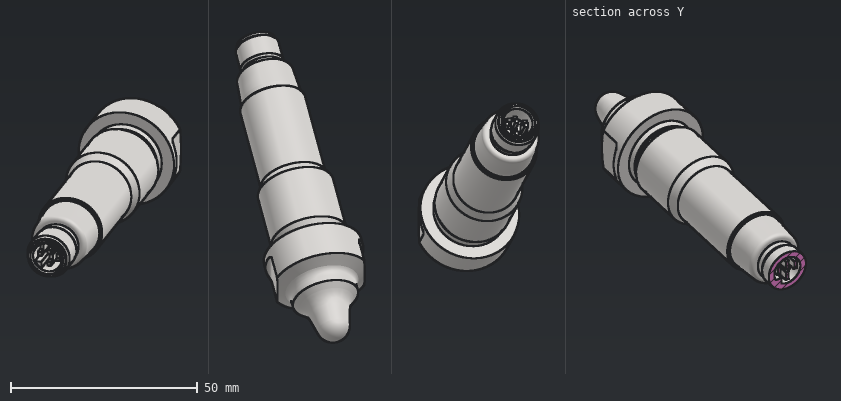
import cadquery as cq
import math

total_length = 96.45

plug_end_dia = 10.6
plug_end_y = 1.0
thread_dia = 12.0
thread_start_y = 1.5
thread_end_y = 7.4
thread_runout_y = 7.9
neck_dia = 11.0
neck_start_y = 8.2
neck_end_y = 9.2
neck_root_dia = 11.4
shoulder_y = 9.9

collar_small_dia = 15.6
collar_large_dia = 16.6
collar_fillet = 1.3
collar_taper_y = 18.0

tube_dia = 18.0
tube_start_y = 19.8
tube_chamfer = 0.3
tube_end_y = 44.85
barrel_dia = 20.9
barrel_start_y = 47.5
barrel_end_y = 63.5
undercut_dia = 18.6
undercut_start_y = 65.5
undercut_end_y = 66.1
flange_root_dia = 20.1

flange_dia = 27.0
flange_start_y = 67.7
flange_cone_angle = 63.0
flange_fillet = 2.9
flange_fillet_angle = 50.0
across_flats = 24.0
flat_start_y = 69.9
flat_fillet = 1.2

nose_collar_start_y = 81.4
nose_flare_radius = 6.9
nose_flare_angle = 45.0
nose_cone_large_y = 88.2
nose_cone_angle = 12.6
nose_tip_radius = 4.6

socket_dia = 8.1
socket_rim_dia = 9.3
socket_depth = 7.7
pin_width = 1.0
pin_height = 2.6
pin_base_y = 3.9
pin_tip_height = 1.2
pin_tip_y = 1.9
centre_pin_z = 1.7
side_pin_x = 2.6
side_pin_z = 0.9
key_corner_x = -1.8
key_corner_z = -1.7
key_start_y = 1.0


def polar(centre, radius, angle):
    """Point (r, y) on a circle, with the angle in degrees from the radial direction."""
    turn = math.radians(angle)
    return centre[0] + radius * math.cos(turn), centre[1] + radius * math.sin(turn)


def concave_arc(start, radius, start_angle, end_angle):
    """Middle and end of a hollow curve that widens toward the plug between two slope angles."""
    centre = polar(start, radius, start_angle)
    middle = polar(centre, -radius, (start_angle + end_angle) / 2)
    return middle, polar(centre, -radius, end_angle)


def cone_end(start, end_radius, angle):
    """Point where a cone that widens toward the plug from start reaches end_radius."""
    return end_radius, start[1] - (end_radius - start[0]) / math.tan(math.radians(angle))


def turned_body():
    tip_centre = (0, total_length - nose_tip_radius)
    tip_middle = polar(tip_centre, nose_tip_radius, (90 + nose_cone_angle) / 2)
    tip_end = polar(tip_centre, nose_tip_radius, nose_cone_angle)
    nose_cone_length = tip_end[1] - nose_cone_large_y
    nose_cone_radius = tip_end[0] + nose_cone_length * math.tan(math.radians(nose_cone_angle))
    nose_cone_end = (nose_cone_radius, nose_cone_large_y)
    flare_middle, flare_end = concave_arc(
        nose_cone_end, nose_flare_radius, nose_cone_angle, nose_flare_angle
    )
    nose_collar_end = cone_end(flare_end, tube_dia / 2, nose_flare_angle)

    nose_collar_start = (tube_dia / 2, nose_collar_start_y)
    fillet_middle, fillet_end = concave_arc(nose_collar_start, flange_fillet, 0, flange_fillet_angle)
    flange_end = cone_end(fillet_end, flange_dia / 2, flange_cone_angle)

    corner = collar_fillet * (1 - math.sqrt(0.5))
    outline = (
        cq.Workplane("XY")
        .moveTo(0, 0)
        .lineTo(plug_end_dia / 2, 0)
        .lineTo(plug_end_dia / 2, plug_end_y)
        .lineTo(thread_dia / 2, thread_start_y)
        .lineTo(thread_dia / 2, thread_end_y)
        .lineTo(neck_root_dia / 2, thread_runout_y)
        .lineTo(neck_dia / 2, neck_start_y)
        .lineTo(neck_dia / 2, neck_end_y)
        .lineTo(neck_root_dia / 2, shoulder_y)
        .lineTo(collar_small_dia / 2 - collar_fillet, shoulder_y)
        .threePointArc(
            (collar_small_dia / 2 - corner, shoulder_y + corner),
            (collar_small_dia / 2, shoulder_y + collar_fillet),
        )
        .lineTo(collar_large_dia / 2, collar_taper_y)
        .lineTo(collar_large_dia / 2, tube_start_y)
        .lineTo(tube_dia / 2 - tube_chamfer, tube_start_y)
        .lineTo(tube_dia / 2, tube_start_y + tube_chamfer)
        .lineTo(tube_dia / 2, tube_end_y)
        .lineTo(barrel_dia / 2, barrel_start_y)
        .lineTo(barrel_dia / 2, barrel_end_y)
        .lineTo(undercut_dia / 2, undercut_start_y)
        .lineTo(undercut_dia / 2, undercut_end_y)
        .lineTo(flange_root_dia / 2, flange_start_y)
        .lineTo(flange_dia / 2, flange_start_y)
        .lineTo(*flange_end)
        .lineTo(*fillet_end)
        .threePointArc(fillet_middle, nose_collar_start)
        .lineTo(*nose_collar_end)
        .lineTo(*flare_end)
        .threePointArc(flare_middle, nose_cone_end)
        .lineTo(*tip_end)
        .threePointArc(tip_middle, (0, total_length))
        .close()
    )
    return outline.revolve(360, (0, 0, 0), (0, 1, 0))


def flat_cutter(side):
    """Block that cuts one wrench flat on the +X (1) or -X (-1) side, rounded at its plug-side root."""
    length = nose_collar_start_y - flat_start_y
    depth = (flange_dia - across_flats) / 2 + flat_fillet
    block = cq.Workplane("XY").box(depth, length, flange_dia)
    inner_edge = "<X" if side > 0 else ">X"
    block = block.faces(inner_edge).edges("<Y").fillet(flat_fillet)
    return block.translate((side * (across_flats + depth) / 2, flat_start_y + length / 2, 0))


def socket_cutter():
    chamfer = (socket_rim_dia - socket_dia) / 2
    outline = cq.Workplane("XY").polyline([
        (0, 0),
        (socket_rim_dia / 2, 0),
        (socket_dia / 2, chamfer),
        (socket_dia / 2, socket_depth),
        (0, socket_depth),
    ]).close()
    return outline.revolve(360, (0, 0, 0), (0, 1, 0))


def contact_pin(x, z):
    """Blade rooted in the socket floor, with a shorter tip at its -Z end."""
    root_y = socket_depth + pin_width
    blade = cq.Workplane("XZ", origin=(x, pin_base_y, z)).rect(pin_width, pin_height)
    tip_z = z - (pin_height - pin_tip_height) / 2
    tip = cq.Workplane("XZ", origin=(x, pin_tip_y, tip_z)).rect(pin_width, pin_tip_height)
    return blade.extrude(pin_base_y - root_y).union(tip.extrude(pin_tip_y - root_y))


def coding_key():
    """Square-cornered block that fills the -X, -Z part of the socket bore."""
    length = socket_depth - key_start_y
    bore = cq.Workplane("XZ", origin=(0, key_start_y, 0)).circle(socket_rim_dia / 2).extrude(-length)
    corner = cq.Workplane("XY").box(
        socket_rim_dia, length, socket_rim_dia, centered=False
    ).translate((key_corner_x - socket_rim_dia, key_start_y, key_corner_z - socket_rim_dia))
    return bore.intersect(corner)


result = turned_body()
for side in (1, -1):
    result = result.cut(flat_cutter(side))
result = result.cut(socket_cutter()).union(coding_key())

pin_centres = [
    (0, centre_pin_z),
    (0, -centre_pin_z),
    (side_pin_x, side_pin_z),
    (-side_pin_x, side_pin_z),
]
for pin_x, pin_z in pin_centres:
    result = result.union(contact_pin(pin_x, pin_z))